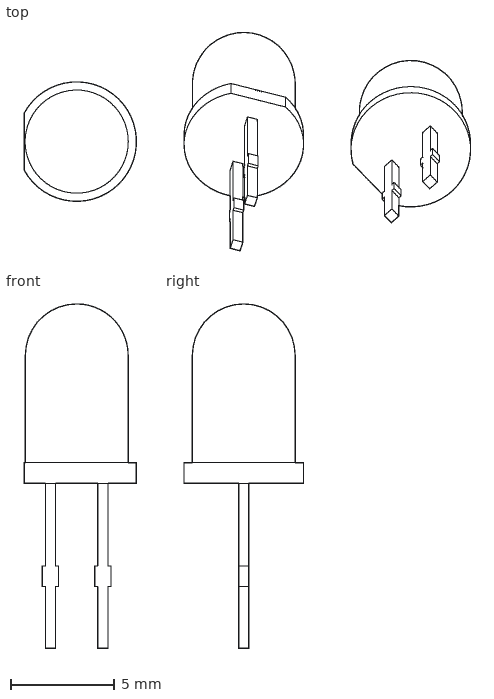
import cadquery as cq

lens_diameter = 5.0
lens_radius = lens_diameter / 2
lens_straight_height = 5.2

flange_diameter = 5.8
flange_height = 1.0
flat_distance = 2.55

lead_pitch = 2.54
lead_side = 0.5
lead_length = 8.0
stop_width = 0.8
stop_height = 1.0
stop_drop = 4.0


def make_lens():
    """Cylinder and dome revolved about Z, standing on the flange."""
    base_z = flange_height
    shoulder_z = base_z + lens_straight_height
    apex_z = shoulder_z + lens_radius
    profile = (
        cq.Workplane("XZ")
        .moveTo(0, base_z)
        .lineTo(lens_radius, base_z)
        .lineTo(lens_radius, shoulder_z)
        .radiusArc((0, apex_z), -lens_radius)
        .close()
    )
    return profile.revolve(360, (0, 0, 0), (0, 1, 0))


def make_flange():
    """Disc with its underside at Z = 0, trimmed by the flat."""
    disc = cq.Workplane("XY").circle(flange_diameter / 2).extrude(flange_height)
    kept_side = (
        cq.Workplane("XY")
        .box(flange_diameter, flange_diameter, flange_height, centered=(False, True, False))
        .translate((-flat_distance, 0, 0))
    )
    return disc.intersect(kept_side)


def make_lead(x):
    """Square lead hanging from the flange at the given X, with its stop."""
    lead = cq.Workplane("XY").center(x, 0).rect(lead_side, lead_side).extrude(-lead_length)
    stop = (
        cq.Workplane("XY", origin=(x, 0, -stop_drop))
        .rect(stop_width, lead_side)
        .extrude(-stop_height)
    )
    return lead.union(stop)


result = make_flange().union(make_lens())
for side in (-1, 1):
    result = result.union(make_lead(side * lead_pitch / 2))